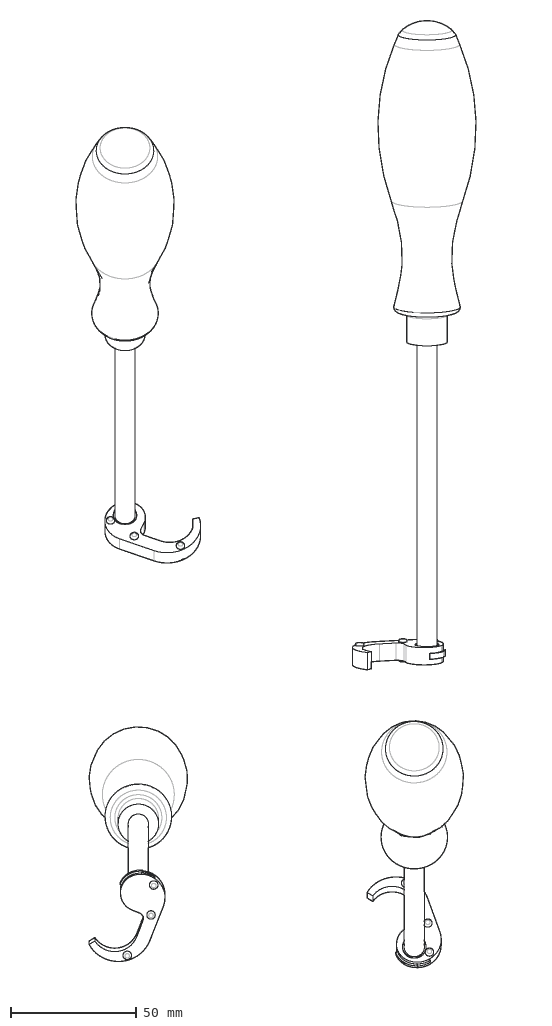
import cadquery as cq
import math

TOTAL_HEIGHT = 261.2
TOTAL_WIDTH = 50.7

GRIP_DIAMETER = 39.5
GRIP_WIDEST_Z = 219.5
CROWN_RADIUS = 10.0
CROWN_Z = 257.5
CROWN_SHOULDER_RADIUS = 11.5
CROWN_SHOULDER_Z = 255.7
BARREL_TOP_RADIUS = 13.0
BARREL_TOP_Z = 251.8
BARREL_END_RADIUS = 14.4
BARREL_END_Z = 188.3
NECK_POINTS = [(11.2, 154.0), (10.0, 167.2), (11.5, 177.5)]
FLANGE_RADIUS = 13.3
FLANGE_BOTTOM_Z = 143.0
FLANGE_ROUNDING = 2.0
FERRULE_RADIUS = 8.0
FERRULE_FILLET = 1.3
FERRULE_BOTTOM_Z = 130.9

ROD_DIAMETER = 8.0
ROD_INSERTION = 26.0
HUB_RADIUS = 4.7
HUB_RECESS = 0.5

PLATE_THICKNESS = 7.0
ARM_EDGE_Y = -11.8
HEAD_X = 2.5
HEAD_RADIUS = 9.7
HEAD_BACK_RADIUS = 7.5
HEAD_BACK_ANGLE = 142.0
CORNER_RADIUS = 2.5
JAW_X = 17.5
JAW_TIP_ANGLE = 40.0
BORE_CENTRE = (18.0, 3.1)
BORE_RADIUS = 9.5
BORE_TIP_ANGLE = 36.0

STUD_RADIUS = 1.7
STUD_HEIGHT = 1.0
STUD_FILLET = 0.8
STUD_CENTRES = [(-4.2, -5.0), (7.5, -8.4), (26.5, -5.5)]

BAND_HEIGHT = 2.4
SLOT_FRONT_Y = -4.5
SLOT_BACK_Y = 1.0
PAD_HEIGHT = 0.8

GRIP_RADIUS = GRIP_DIAMETER / 2
ROD_RADIUS = ROD_DIAMETER / 2
PLATE_BOTTOM_Z = STUD_HEIGHT
PLATE_TOP_Z = PLATE_BOTTOM_Z + PLATE_THICKNESS
BAND_BOTTOM_Z = PLATE_BOTTOM_Z + (PLATE_THICKNESS - BAND_HEIGHT) / 2
BAND_TOP_Z = BAND_BOTTOM_Z + BAND_HEIGHT
ROD_TOP_Z = FERRULE_BOTTOM_Z + ROD_INSERTION
HEAD_CENTRE = (HEAD_X, ARM_EDGE_Y + HEAD_RADIUS)
JAW_RADIUS = TOTAL_WIDTH - GRIP_RADIUS - JAW_X
JAW_CENTRE = (JAW_X, ARM_EDGE_Y + JAW_RADIUS)
ARM_INNER_Y = BORE_CENTRE[1] - BORE_RADIUS


def point_on_circle(centre, radius, degrees):
    angle = math.radians(degrees)
    return (centre[0] + radius * math.cos(angle), centre[1] + radius * math.sin(angle))


def disc(radius, bottom_z, top_z, centre=(0, 0)):
    """An upright cylinder between two heights."""
    plane = cq.Workplane("XY").workplane(offset=bottom_z)
    return plane.center(*centre).circle(radius).extrude(top_z - bottom_z)


def make_handle():
    crown_depth = TOTAL_HEIGHT - CROWN_Z
    crown_sphere = (CROWN_RADIUS**2 + crown_depth**2) / (2 * crown_depth)
    profile = (
        cq.Workplane("XZ")
        .moveTo(0, FERRULE_BOTTOM_Z)
        .lineTo(FERRULE_RADIUS, FERRULE_BOTTOM_Z)
        .lineTo(FERRULE_RADIUS, FLANGE_BOTTOM_Z - FERRULE_FILLET)
        .radiusArc((FERRULE_RADIUS + FERRULE_FILLET, FLANGE_BOTTOM_Z), FERRULE_FILLET)
        .lineTo(FLANGE_RADIUS - FLANGE_ROUNDING, FLANGE_BOTTOM_Z)
        .radiusArc((FLANGE_RADIUS, FLANGE_BOTTOM_Z + FLANGE_ROUNDING), -FLANGE_ROUNDING)
        .spline([*NECK_POINTS, (BARREL_END_RADIUS, BARREL_END_Z)], includeCurrent=True)
        .threePointArc((GRIP_RADIUS, GRIP_WIDEST_Z), (BARREL_TOP_RADIUS, BARREL_TOP_Z))
        .lineTo(CROWN_SHOULDER_RADIUS, CROWN_SHOULDER_Z)
        .lineTo(CROWN_RADIUS, CROWN_Z)
        .radiusArc((0, TOTAL_HEIGHT), -crown_sphere)
        .close()
    )
    grip = profile.revolve(360, (0, 0, 0), (0, 1, 0))
    return grip.cut(disc(ROD_RADIUS, FERRULE_BOTTOM_Z, ROD_TOP_Z))


def head_back_centre():
    """Centre of the smaller arc at the back of the head, which meets the large arc smoothly."""
    return point_on_circle(HEAD_CENTRE, HEAD_RADIUS - HEAD_BACK_RADIUS, HEAD_BACK_ANGLE)


def plate_outline(bottom_z):
    """The flat hook seen along Z, whose jaw thins towards its tip."""
    back_centre = head_back_centre()
    head_right_x = back_centre[0] + HEAD_BACK_RADIUS
    outer_middle = (JAW_TIP_ANGLE - 90) / 2
    bore_middle = (BORE_TIP_ANGLE - 90) / 2
    return (
        cq.Workplane("XY")
        .workplane(offset=bottom_z)
        .moveTo(HEAD_X, ARM_EDGE_Y)
        .lineTo(JAW_X, ARM_EDGE_Y)
        .threePointArc(
            point_on_circle(JAW_CENTRE, JAW_RADIUS, outer_middle),
            point_on_circle(JAW_CENTRE, JAW_RADIUS, JAW_TIP_ANGLE),
        )
        .lineTo(*point_on_circle(BORE_CENTRE, BORE_RADIUS, BORE_TIP_ANGLE))
        .threePointArc(
            point_on_circle(BORE_CENTRE, BORE_RADIUS, bore_middle),
            (BORE_CENTRE[0], ARM_INNER_Y),
        )
        .lineTo(head_right_x + CORNER_RADIUS, ARM_INNER_Y)
        .radiusArc((head_right_x, ARM_INNER_Y + CORNER_RADIUS), CORNER_RADIUS)
        .lineTo(head_right_x, back_centre[1])
        .threePointArc(
            point_on_circle(back_centre, HEAD_BACK_RADIUS, HEAD_BACK_ANGLE / 2),
            point_on_circle(back_centre, HEAD_BACK_RADIUS, HEAD_BACK_ANGLE),
        )
        .threePointArc(
            point_on_circle(HEAD_CENTRE, HEAD_RADIUS, 180),
            (HEAD_X, ARM_EDGE_Y),
        )
        .close()
    )


def make_stud(centre):
    """One pin through the plate, with a rounded end standing out of each face."""
    stud = disc(STUD_RADIUS, 0, PLATE_TOP_Z + STUD_HEIGHT, centre)
    return stud.faces("<Z or >Z").edges().fillet(STUD_FILLET)


def make_pad():
    """A raised strip on the rim, from the slot to the back of the head."""
    strip = plate_outline(BAND_BOTTOM_Z).offset2D(PAD_HEIGHT).extrude(BAND_HEIGHT)
    strip = strip.cut(disc(HUB_RADIUS, BAND_BOTTOM_Z, BAND_TOP_Z))
    size = 2 * HEAD_RADIUS
    corner = (
        cq.Workplane("XY")
        .box(size, size, PLATE_TOP_Z, centered=False)
        .translate((head_back_centre()[0] - size, SLOT_BACK_Y, 0))
    )
    return strip.intersect(corner)


def make_slot():
    """The space cut in from the rim as far as a round hub around the rod."""
    size = 2 * HEAD_RADIUS
    slot = (
        cq.Workplane("XY")
        .box(size, SLOT_BACK_Y - SLOT_FRONT_Y, BAND_HEIGHT, centered=False)
        .translate((-size, SLOT_FRONT_Y, BAND_BOTTOM_Z))
    )
    return slot.cut(disc(HUB_RADIUS, BAND_BOTTOM_Z, BAND_TOP_Z))


def make_hook():
    hook = plate_outline(PLATE_BOTTOM_Z).extrude(PLATE_THICKNESS)
    hook = hook.union(make_pad())
    for centre in STUD_CENTRES:
        hook = hook.union(make_stud(centre))
    hook = hook.cut(make_slot())
    hook = hook.cut(disc(HUB_RADIUS, PLATE_TOP_Z - HUB_RECESS, PLATE_TOP_Z))
    return hook.union(disc(ROD_RADIUS, PLATE_BOTTOM_Z, ROD_TOP_Z))


handle = make_handle()
hook = make_hook()
result = cq.Compound.makeCompound([handle.val(), hook.val()])